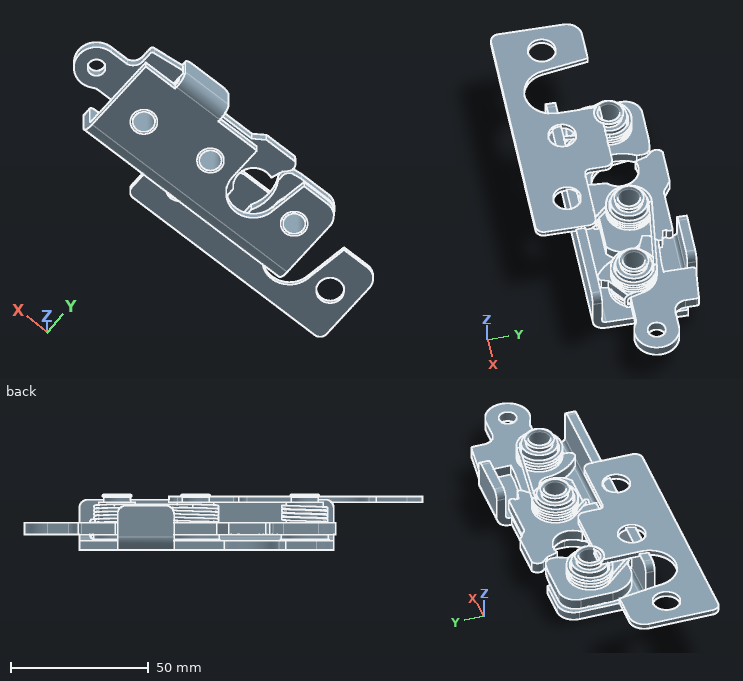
import cadquery as cq
import math


PAWL_PIVOT = (0, 0)
ROTOR_PIVOT = (-39.6, 0)
RELEASE_PIVOT = (28.5, -3.6)
PIVOTS = [ROTOR_PIVOT, PAWL_PIVOT, RELEASE_PIVOT]
STRIKER = (-20.4, 0)
SLOT_RADIUS = 10.0
SLOT_TAPER = math.radians(9)

SHEET = 3.5
LEVER_BOTTOM = 5.6
LEVER_THICKNESS = 4.3
PLATE_BOTTOM = 17.4
PLATE_TOP = 19.5
TOTAL_HEIGHT = 20.2

HOUSING_LEFT = -50.2
HOUSING_RIGHT = 42.2
HOUSING_FRONT = -21.4
FLOOR_BACK = 13.9
FLOOR_CORNER = 6.4
WALL_HEIGHT = 18.4
WALL_CORNER = 3.0
BEND_INSIDE = 1.5
BEND_OUTSIDE = BEND_INSIDE + SHEET
TAB_LEFT = 7.8
TAB_RIGHT = 28.3
TAB_BACK = 19.7
TAB_HEIGHT = 16.2

PLATE_SHIFT = (-32.5, -18.5)
PLATE_LEFT = -82.5
PLATE_RIGHT = 9.7
PLATE_FRONT = -35.9
PLATE_BACK = -2.7
PLATE_STEP_X = -15.6
PLATE_STEP_Y = -13.6
PLATE_HOLE = 10.1

BORE = 8.1
NECK = 9.8
BUSHING_BODY = 13.3
FOOT = 17.0
FOOT_BASE = 18.2
FOOT_FLARE = (FOOT_BASE - FOOT) / 2
LIP = 10.7
LIP_ROUND = (LIP - BORE) / 4
LIP_WIDEST_Z = TOTAL_HEIGHT - LIP_ROUND
LIP_BOTTOM_Z = 19.2

LEVER_EYE = (54.0, 0)
EYE_RADIUS = 8.2
EYE_HOLE = 6.5
ROTOR_FRONT = -16.3
ROTOR_GRIP = -15.3
PAWL_FRONT = -11.0
RELEASE_FRONT = -6.5
JAW_RADIUS = 7.4
CONTACT = [(14.0, 8.2), (11.3, 5.5), (10.7, 2.9), (14.3, 1.3)]

WIRE = 1.21
COIL_RADIUS = 7.8
COIL_BOTTOM = 10.7
HOOK_BEND = 1.9
HOOK_GAP = 1.7
HOOK_BOTTOM = 4.9
JOIN_TOLERANCE = 0.001
DOUBLE_RISE = 5.4
SINGLE_RISE = 5.0
LEFT_HOOK_ANGLE = 222
RIGHT_HOOK_ANGLE = 16
WALL_LEG_ANGLE = -8
WALL_LEG_END = -17.6


def box(x_min, x_max, y_min, y_max, z_min, z_max):
    """A box between the given limits."""
    size = (x_max - x_min, y_max - y_min, z_max - z_min)
    return cq.Workplane("XY").box(*size, centered=False).translate((x_min, y_min, z_min))


def holes(centers, diameter):
    """Vertical cylinders taller than the whole latch, used as cutters."""
    return cq.Workplane("XY").pushPoints(centers).circle(diameter / 2).extrude(TOTAL_HEIGHT)


def striker_slot(center):
    """Cutter for the U-shaped slot: round at the front, its left side tapering outward to the back."""
    x, y = center
    reach = 2 * SLOT_RADIUS
    right = x + SLOT_RADIUS
    tangent = (x - SLOT_RADIUS * math.cos(SLOT_TAPER), y - SLOT_RADIUS * math.sin(SLOT_TAPER))
    taper_end = (x - SLOT_RADIUS / math.cos(SLOT_TAPER) - reach * math.tan(SLOT_TAPER), y + reach)
    return (
        cq.Workplane("XY")
        .moveTo(right, y + reach)
        .lineTo(right, y)
        .threePointArc((x, y - SLOT_RADIUS), tangent)
        .lineTo(*taper_end)
        .close()
        .extrude(TOTAL_HEIGHT)
    )


def make_housing():
    """Bent sheet: a floor with a full front wall and a short back tab."""
    channel = box(HOUSING_LEFT, HOUSING_RIGHT, HOUSING_FRONT, TAB_BACK, 0, WALL_HEIGHT)
    channel = channel.edges("|X and <Z").fillet(BEND_OUTSIDE)
    inside = box(HOUSING_LEFT, HOUSING_RIGHT, HOUSING_FRONT + SHEET, TAB_BACK - SHEET, SHEET, WALL_HEIGHT)
    channel = channel.cut(inside.edges("|X and <Z").fillet(BEND_INSIDE))

    channel = channel.cut(box(HOUSING_LEFT, TAB_LEFT, FLOOR_BACK, TAB_BACK, 0, WALL_HEIGHT))
    channel = channel.cut(box(TAB_RIGHT, HOUSING_RIGHT, FLOOR_BACK, TAB_BACK, 0, WALL_HEIGHT))
    channel = channel.cut(box(TAB_LEFT, TAB_RIGHT, FLOOR_BACK, TAB_BACK, TAB_HEIGHT, WALL_HEIGHT))

    margin = 1.5
    tab_zone = cq.selectors.BoxSelector(
        (TAB_LEFT - margin, FLOOR_BACK, TAB_HEIGHT - margin),
        (TAB_RIGHT + margin, TAB_BACK + margin, TAB_HEIGHT + margin),
    )
    channel = channel.edges("|Y").edges(tab_zone).fillet(WALL_CORNER)
    channel = channel.edges("|Y and >Z").fillet(WALL_CORNER)
    floor_corner = cq.NearestToPointSelector((HOUSING_LEFT, FLOOR_BACK, SHEET / 2))
    channel = channel.edges("|Z").edges(floor_corner).fillet(FLOOR_CORNER)
    return channel.cut(striker_slot(STRIKER)).cut(holes(PIVOTS, NECK))


def make_cover_plate():
    """Flat stepped plate with one hole per pivot and the striker slot."""
    shift_x, shift_y = PLATE_SHIFT
    outline = [
        (PLATE_LEFT, PLATE_FRONT),
        (PLATE_RIGHT, PLATE_FRONT),
        (PLATE_RIGHT, PLATE_STEP_Y),
        (PLATE_STEP_X, PLATE_STEP_Y),
        (PLATE_STEP_X, PLATE_BACK),
        (PLATE_LEFT, PLATE_BACK),
    ]
    corner_radii = [3.0, 3.0, 3.0, 2.0, 3.0, 5.8]
    thickness = PLATE_TOP - PLATE_BOTTOM
    plate = cq.Workplane("XY").workplane(offset=PLATE_BOTTOM).polyline(outline).close().extrude(thickness)
    for (x, y), radius in zip(outline, corner_radii):
        corner = cq.NearestToPointSelector((x, y, PLATE_BOTTOM + thickness / 2))
        plate = plate.edges("|Z").edges(corner).fillet(radius)
    plate = plate.cut(striker_slot((STRIKER[0] + shift_x, STRIKER[1] + shift_y)))
    return plate.cut(holes([(x + shift_x, y + shift_y) for x, y in PIVOTS], PLATE_HOLE))


def make_bushing(pivot):
    """Turned pivot sleeve: tail in the floor, flared foot, lever bearing, neck and rolled lip."""
    sleeve = (
        cq.Workplane("XZ")
        .moveTo(BORE / 2, 0)
        .lineTo(NECK / 2, 0)
        .lineTo(NECK / 2, SHEET)
        .lineTo(FOOT_BASE / 2, SHEET)
        .lineTo(FOOT / 2, SHEET + FOOT_FLARE)
        .lineTo(FOOT / 2, LEVER_BOTTOM)
        .lineTo(BUSHING_BODY / 2, LEVER_BOTTOM)
        .lineTo(BUSHING_BODY / 2, PLATE_BOTTOM)
        .lineTo(NECK / 2, PLATE_BOTTOM)
        .lineTo(NECK / 2, LIP_BOTTOM_Z)
        .lineTo(LIP / 2, LIP_WIDEST_Z)
        .threePointArc((LIP / 2 - LIP_ROUND, TOTAL_HEIGHT), (BORE / 2, LIP_WIDEST_Z))
        .close()
        .revolve(360, (0, 0, 0), (0, 1, 0))
    )
    return sleeve.translate((*pivot, 0))


def make_lever(outline, pivot):
    """Extrude a lever outline to the common lever thickness and bore it for its bushing."""
    lever = outline.close().extrude(LEVER_THICKNESS).translate((0, 0, LEVER_BOTTOM))
    return lever.cut(holes([pivot], BUSHING_BODY))


def make_rotor():
    """Left lever, with a concave jaw edge facing the striker."""
    jaw_middle = (STRIKER[0] - JAW_RADIUS, STRIKER[1])
    outline = (
        cq.Workplane("XY")
        .moveTo(-50.9, 7.1)
        .threePointArc((-49.0, 11.5), (-44.5, 13.5))
        .lineTo(-31.8, 13.5)
        .lineTo(-28.0, 13)
        .threePointArc((-26.2, 11.5), (-25.7, 9.4))
        .lineTo(-25.7, 7.7)
        .threePointArc(jaw_middle, (-25.7, -7.7))
        .lineTo(-25.7, ROTOR_FRONT)
        .lineTo(-29.6, ROTOR_FRONT)
        .lineTo(-32.5, ROTOR_GRIP)
        .lineTo(-39.8, ROTOR_GRIP)
        .threePointArc((-47.7, -12.3), (-50.9, -5.0))
    )
    return make_lever(outline, ROTOR_PIVOT)


def make_pawl():
    """Middle lever, cut away round the striker and stepped at its right end."""
    mouth_front = (-15.3, -5.4)
    mouth_back = (-23.1, 6.8)
    mouth_right = (STRIKER[0] + JAW_RADIUS, STRIKER[1])
    step_x = -1.3
    outline = (
        cq.Workplane("XY")
        .moveTo(*mouth_back)
        .lineTo(-24.6, 11.1)
        .lineTo(-26.6, 13.5)
        .threePointArc((-26.9, 15.6), (-25.5, 17.4))
        .lineTo(-12.0, 17.4)
        .lineTo(-7.7, 14.3)
        .lineTo(9.8, 14.3)
        .threePointArc((10.4, 13.3), (9.7, 11.9))
        .lineTo(10.0, 10.5)
        .lineTo(14.0, 9.7)
    )
    for point in CONTACT:
        outline = outline.lineTo(*point)
    outline = (
        outline
        .threePointArc((16.6, -3.2), (13.2, PAWL_FRONT))
        .lineTo(step_x, PAWL_FRONT)
        .lineTo(step_x, -15.3)
        .lineTo(-15.9, -15.3)
        .lineTo(*mouth_front)
        .threePointArc(mouth_right, mouth_back)
    )
    return make_lever(outline, PAWL_PIVOT)


def make_release_lever():
    """Right lever, with a pull eye on its right end and a tail at the front."""
    eye_x, eye_y = LEVER_EYE
    eye_front_x = 50.2
    eye_front_y = eye_y - math.sqrt(EYE_RADIUS ** 2 - (eye_x - eye_front_x) ** 2)
    outline = (
        cq.Workplane("XY")
        .moveTo(TAB_RIGHT, 7.4)
        .lineTo(TAB_RIGHT, 18.5)
        .lineTo(29.2, 19.2)
        .lineTo(41.5, 18.0)
        .threePointArc((42.4, 17.6), (42.7, 16.9))
        .lineTo(42.7, 12.7)
        .threePointArc((43.7, 9.8), (46.3, eye_y + EYE_RADIUS))
        .lineTo(eye_x, eye_y + EYE_RADIUS)
        .threePointArc((eye_x + EYE_RADIUS, eye_y), (eye_front_x, eye_front_y))
        .threePointArc((49.2, -6.8), (47.9, RELEASE_FRONT))
        .lineTo(37.6, RELEASE_FRONT)
        .lineTo(28.6, -13.2)
        .lineTo(28.0, -15.6)
        .threePointArc((26.8, -16.5), (25.3, -16.2))
        .threePointArc((20.0, -10.1), (17.8, -2.2))
        .threePointArc((16.6, -0.1), CONTACT[-1])
    )
    for point in reversed(CONTACT[:-1]):
        outline = outline.lineTo(*point)
    outline = outline.lineTo(23.9, 7.4)
    return make_lever(outline, RELEASE_PIVOT).cut(holes([LEVER_EYE], EYE_HOLE))


def coil_point(pivot, angle, z):
    """Point on the coil's middle line at an angle in degrees."""
    turn = math.radians(angle)
    x = pivot[0] + COIL_RADIUS * math.cos(turn)
    y = pivot[1] + COIL_RADIUS * math.sin(turn)
    return cq.Vector(x, y, z)


def wire_along(path, start, direction):
    """Sweep the wire's round section along a path."""
    section = cq.Workplane(cq.Plane(start, normal=direction)).circle(WIRE / 2)
    return section.sweep(path, isFrenet=True)


def straight_wire(start, end):
    """Straight piece of wire between two points."""
    reach = end - start
    return cq.Workplane(cq.Solid.makeCylinder(WIRE / 2, reach.Length, start, reach))


def coil(pivot, start_angle, sweep, rise):
    """Coil that climbs through a signed sweep in degrees; a negative sweep turns clockwise."""
    pitch = rise * 360 / abs(sweep)
    helix = cq.Wire.makeHelix(pitch, rise, COIL_RADIUS, lefthand=sweep < 0)
    climb = pitch / (2 * math.pi * COIL_RADIUS)
    direction = (0, math.copysign(1, sweep), climb)
    wound = wire_along(helix, (COIL_RADIUS, 0, 0), direction)
    return wound.rotate((0, 0, 0), (0, 0, 1), start_angle).translate((*pivot, COIL_BOTTOM))


def hooked_leg(pivot, angle, turning, edge_y):
    """Leg that leaves the coil's bottom at a tangent and hooks down and under a lever's front edge.

    turning is +1 where the leg leaves in the counterclockwise direction and -1 where clockwise.
    """
    start = coil_point(pivot, angle, COIL_BOTTOM)
    turn = math.radians(angle)
    along = cq.Vector(-turning * math.sin(turn), turning * math.cos(turn), 0)
    down = cq.Vector(0, 0, -1)
    reach = (edge_y - HOOK_GAP - start.y) / along.y
    upper_corner = start + along * reach
    lower_corner = upper_corner + down * (COIL_BOTTOM - HOOK_BOTTOM)
    bend_cut = HOOK_BEND * (1 - math.sqrt(0.5))
    upper_middle = upper_corner + (down - along) * bend_cut
    lower_middle = lower_corner - (down + along) * bend_cut
    upper_start = upper_corner - along * HOOK_BEND
    upper_end = upper_corner + down * HOOK_BEND
    lower_start = lower_corner - down * HOOK_BEND
    lower_end = lower_corner - along * HOOK_BEND
    path = cq.Wire.assembleEdges([
        cq.Edge.makeLine(start, upper_start),
        cq.Edge.makeThreePointArc(upper_start, upper_middle, upper_end),
        cq.Edge.makeLine(upper_end, lower_start),
        cq.Edge.makeThreePointArc(lower_start, lower_middle, lower_end),
    ])
    return wire_along(path, start, along)


def make_rotor_spring():
    """Single coil: hooked round the rotor, its upper leg ending just short of the housing wall."""
    sweep = WALL_LEG_ANGLE - LEFT_HOOK_ANGLE - 3 * 360
    top_z = COIL_BOTTOM + SINGLE_RISE
    leg_start = coil_point(ROTOR_PIVOT, WALL_LEG_ANGLE, top_z)
    leg_drop = WALL_LEG_END - leg_start.y
    leg_end = leg_start + cq.Vector(-leg_drop * math.tan(math.radians(WALL_LEG_ANGLE)), leg_drop, 0)
    spring = coil(ROTOR_PIVOT, LEFT_HOOK_ANGLE, sweep, SINGLE_RISE)
    spring = spring.union(hooked_leg(ROTOR_PIVOT, LEFT_HOOK_ANGLE, 1, ROTOR_GRIP), tol=JOIN_TOLERANCE)
    return spring.union(straight_wire(leg_start, leg_end), tol=JOIN_TOLERANCE)


def make_double_spring():
    """Two coils of opposite hand on the pawl and release pivots, joined by a straight span on top."""
    pivot_slope = math.atan2(RELEASE_PIVOT[1] - PAWL_PIVOT[1], RELEASE_PIVOT[0] - PAWL_PIVOT[0])
    span_angle = 90 + math.degrees(pivot_slope)
    top_z = COIL_BOTTOM + DOUBLE_RISE
    left_sweep = span_angle - LEFT_HOOK_ANGLE - 4 * 360
    right_sweep = span_angle - RIGHT_HOOK_ANGLE + 4 * 360
    span = straight_wire(
        coil_point(PAWL_PIVOT, span_angle, top_z), coil_point(RELEASE_PIVOT, span_angle, top_z)
    )
    left = coil(PAWL_PIVOT, LEFT_HOOK_ANGLE, left_sweep, DOUBLE_RISE)
    left = left.union(hooked_leg(PAWL_PIVOT, LEFT_HOOK_ANGLE, 1, PAWL_FRONT), tol=JOIN_TOLERANCE)
    right = coil(RELEASE_PIVOT, RIGHT_HOOK_ANGLE, right_sweep, DOUBLE_RISE)
    right = right.union(hooked_leg(RELEASE_PIVOT, RIGHT_HOOK_ANGLE, -1, RELEASE_FRONT), tol=JOIN_TOLERANCE)
    return left.union(span, tol=JOIN_TOLERANCE).union(right, tol=JOIN_TOLERANCE)


cover_plate = make_cover_plate()
housing = make_housing().cut(cover_plate)
bushings = [make_bushing(pivot).cut(cover_plate) for pivot in PIVOTS]
rotor = make_rotor()
pawl = make_pawl()
release_lever = make_release_lever()
rotor_spring = make_rotor_spring()
double_spring = make_double_spring()

result = cq.Compound.makeCompound([
    housing.val(),
    cover_plate.val(),
    *[bushing.val() for bushing in bushings],
    rotor.val(),
    pawl.val(),
    release_lever.val(),
    rotor_spring.val(),
    double_spring.val(),
])